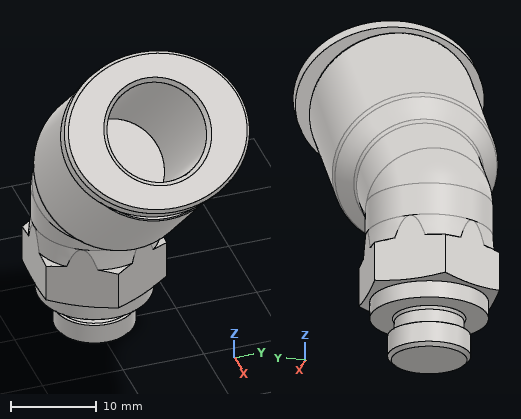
import math

import cadquery as cq

STUD_RADIUS = 4.9
STUD_TOP = 2.95
STUD_CHAMFER = 0.45
RELIEF_RADIUS = 4.1
RELIEF_BOTTOM_RADIUS = 4.45
RELIEF_TOP_RADIUS = 4.3
RELIEF_BOTTOM = 3.25
RELIEF_TOP = 4.8
COLLAR_RADIUS = 6.98
COLLAR_BOTTOM = 5.2
COLLAR_TOP = 7.25

HEX_ACROSS_FLATS = 15.0
HEX_TOP = 12.8
HEX_CORNER_RADIUS = HEX_ACROSS_FLATS / math.sqrt(3)
HEX_CHAMFER_SLOPE = math.tan(math.radians(16.5))
SHOULDER_RADIUS = 7.73
SHOULDER_TOP = 15.45

TUBE_RADIUS = HEX_ACROSS_FLATS / 2
ELBOW_HEIGHT = 19.36
ARM_TILT = 45.0

BODY_RADIUS = 9.85
BODY_START = 10.3
BODY_END = 28.1
BODY_END_CHAMFER = 0.15
FLARE_ANGLE = 40.0
FLARE_FILLET = 1.0
FLARE_LENGTH = (BODY_RADIUS - TUBE_RADIUS) / math.tan(math.radians(FLARE_ANGLE))
FLARE_START = BODY_START - FLARE_LENGTH

NECK_RADIUS = 7.2
FLANGE_HALF_WIDTH = 9.7
FLANGE_HALF_LENGTH = 11.25
FLANGE_BOTTOM = 29.9
FLANGE_TOP = 32.2
FLANGE_CHAMFER = 0.4

BORE_RADIUS = 6.0
BORE_MOUTH_RADIUS = 6.5
BORE_MOUTH_DEPTH = 0.5
BORE_BOTTOM = BODY_START


def revolve_profile(points):
    """Revolve (radius, height) points about the vertical axis."""
    return cq.Workplane("XZ").polyline(points).close().revolve(360, (0, 0), (0, 1))


def make_stud():
    return revolve_profile([
        (0, 0),
        (STUD_RADIUS - STUD_CHAMFER, 0),
        (STUD_RADIUS, STUD_CHAMFER),
        (STUD_RADIUS, STUD_TOP),
        (RELIEF_BOTTOM_RADIUS, STUD_TOP),
        (RELIEF_RADIUS, RELIEF_BOTTOM),
        (RELIEF_RADIUS, RELIEF_TOP),
        (RELIEF_TOP_RADIUS, COLLAR_BOTTOM),
        (COLLAR_RADIUS, COLLAR_BOTTOM),
        (COLLAR_RADIUS, COLLAR_TOP),
        (0, COLLAR_TOP),
    ])


def make_nut():
    """Hexagonal prism trimmed to a turned outline, so the flats cut the conical shoulder."""
    lower_chamfer = (HEX_CORNER_RADIUS - COLLAR_RADIUS) * HEX_CHAMFER_SLOPE
    upper_chamfer = (HEX_CORNER_RADIUS - SHOULDER_RADIUS) * HEX_CHAMFER_SLOPE
    turned = revolve_profile([
        (0, COLLAR_TOP),
        (COLLAR_RADIUS, COLLAR_TOP),
        (HEX_CORNER_RADIUS, COLLAR_TOP + lower_chamfer),
        (HEX_CORNER_RADIUS, HEX_TOP - upper_chamfer),
        (SHOULDER_RADIUS, HEX_TOP),
        (TUBE_RADIUS, SHOULDER_TOP),
        (0, SHOULDER_TOP),
    ])
    prism = (
        cq.Workplane("XY")
        .workplane(offset=COLLAR_TOP)
        .polygon(6, 2 * HEX_CORNER_RADIUS)
        .extrude(SHOULDER_TOP - COLLAR_TOP)
    )
    return prism.intersect(turned)


def make_column():
    column = (
        cq.Workplane("XY")
        .workplane(offset=SHOULDER_TOP)
        .circle(TUBE_RADIUS)
        .extrude(ELBOW_HEIGHT - SHOULDER_TOP)
    )
    elbow = cq.Workplane("XY").sphere(TUBE_RADIUS).translate((0, 0, ELBOW_HEIGHT))
    return column.union(elbow)


def make_body():
    """Arm flaring into the body, upright with the elbow centre at the origin."""
    flare_angle = math.radians(FLARE_ANGLE)
    setback = FLARE_FILLET * math.tan(flare_angle / 2)
    setback_axial = setback * math.cos(flare_angle)
    setback_radial = setback * math.sin(flare_angle)
    return (
        cq.Workplane("XZ")
        .moveTo(0, 0)
        .lineTo(TUBE_RADIUS, 0)
        .lineTo(TUBE_RADIUS, FLARE_START - setback)
        .radiusArc((TUBE_RADIUS + setback_radial, FLARE_START + setback_axial), FLARE_FILLET)
        .lineTo(BODY_RADIUS - setback_radial, BODY_START - setback_axial)
        .radiusArc((BODY_RADIUS, BODY_START + setback), -FLARE_FILLET)
        .lineTo(BODY_RADIUS, BODY_END - BODY_END_CHAMFER)
        .lineTo(BODY_RADIUS - BODY_END_CHAMFER, BODY_END)
        .lineTo(0, BODY_END)
        .close()
        .revolve(360, (0, 0), (0, 1))
    )


def make_collet():
    neck = (
        cq.Workplane("XY")
        .workplane(offset=BODY_END)
        .circle(NECK_RADIUS)
        .extrude(FLANGE_BOTTOM - BODY_END)
    )
    flange = (
        cq.Workplane("XY")
        .workplane(offset=FLANGE_BOTTOM)
        .ellipse(FLANGE_HALF_WIDTH, FLANGE_HALF_LENGTH)
        .extrude(FLANGE_TOP - FLANGE_BOTTOM)
        .faces(">Z")
        .chamfer(FLANGE_CHAMFER)
    )
    return neck.union(flange)


def make_bore():
    return revolve_profile([
        (0, BORE_BOTTOM),
        (BORE_RADIUS, BORE_BOTTOM),
        (BORE_RADIUS, FLANGE_TOP - BORE_MOUTH_DEPTH),
        (BORE_MOUTH_RADIUS, FLANGE_TOP),
        (0, FLANGE_TOP),
    ])


def make_arm():
    """Complete arm, tilted toward +X and moved onto the elbow centre."""
    upright = make_body().union(make_collet()).cut(make_bore())
    tilted = upright.rotate((0, 0, 0), (0, 1, 0), ARM_TILT)
    return tilted.translate((0, 0, ELBOW_HEIGHT))


result = make_stud().union(make_nut()).union(make_column()).union(make_arm())